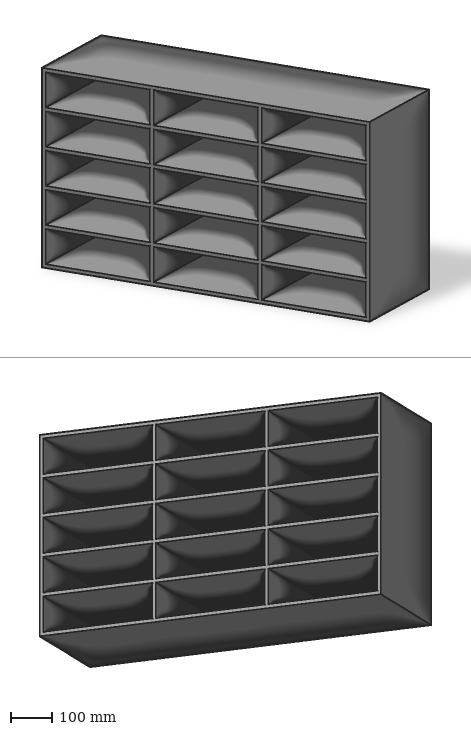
import cadquery as cq

width = 910.0
depth = 300.0
height = 510.0
board = 10.0
columns = 3
rows = 5

opening_width = (width - (columns + 1) * board) / columns
opening_height = (height - (rows + 1) * board) / rows


def make_body():
    """Solid block with the outer size of the unit, centred on the origin."""
    return cq.Workplane("XY").box(width, depth, height)


def make_compartments():
    """Grid of blocks that open each compartment from front to back."""
    return (
        cq.Workplane("XZ")
        .rarray(opening_width + board, opening_height + board, columns, rows)
        .rect(opening_width, opening_height)
        .extrude(depth, both=True)
    )


result = make_body().cut(make_compartments())